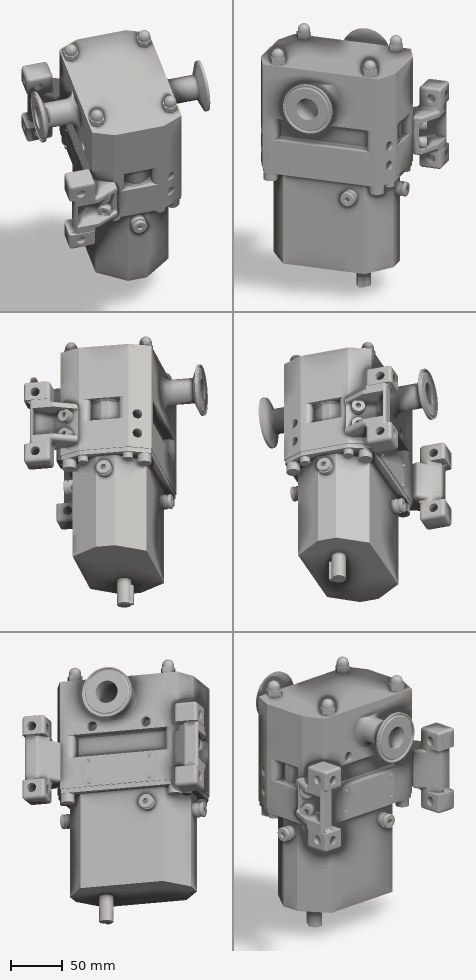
import cadquery as cq
import math


head_half_x, head_half_y = 69.3, 44.9
head_face_half_x = 60.0
head_side_half_y = 24.5
head_bottom, head_top = 124.2, 231.5
plate_inset = 0.7
plate_bottom = 119.8

gear_half_x, gear_half_y = 61.5, 36.5
gear_face_half_x, gear_side_half_y = 42.0, 9.4
gear_bottom = 25.5

shaft_x, shaft_radius = -27.5, 7.0
key_width, key_length, key_reach = 5.0, 19.2, 9.0

window_bottom, window_top = 154.5, 177.2
window_half_x, window_half_y = 46.3, 14.3
window_round = 6.0
core_half_x, core_half_y = 64.5, 34.5
core_face_half_x, core_side_half_y = 44.5, 3.5
core_flare = 1.5

port_z = 206.3
port_tube_radius, port_bore_radius = 12.3, 11.0
port_bore_end = 24.6
port_boss_end, port_flare_start, port_flare_radius = 54.5, 53.0, 18.5
port_flat_height = 13.3
ferrule_radius, ferrule_face, ferrule_rim = 25.0, 83.0, 2.7
ferrule_cone_start = 75.0
groove_inner, groove_outer, groove_depth = 21.2, 23.7, 1.2

nut_x, nut_y = 47.3, 36.7
nut_corner_diameter, nut_height, dome_radius = 14.8, 6.2, 6.0
nut_top = 246.5
big_screw_x, big_screw_y, big_screw_radius, big_screw_height = 54.7, 37.0, 6.7, 8.5
small_screw_x, small_screw_y, small_screw_radius, small_screw_height = 62.0, 22.2, 5.0, 5.5
plug_z, plug_x = 104.0, 27.5
plug_radius, plug_neck_radius, plug_socket_radius = 7.1, 6.0, 2.7
plug_shank, plug_neck, plug_cap = 6.0, 1.5, 3.5
plug_chamfer = 0.7
label_width, label_height, label_z = 70.5, 29.0, 139.3
label_corner, label_thickness = 4.2, 0.5
label_screw_x, label_screw_z = 30.8, 11.0
label_screw_radius, label_screw_height, label_screw_socket = 1.7, 1.7, 0.7
gauge_hole_x, gauge_hole_z, gauge_hole_radius, gauge_hole_depth = 27.4, 184.0, 5.0, 9.9

mount_y, mount_z, mount_pitch = 32.3, 149.0, 20.0
mount_hole_radius, mount_hole_depth = 4.7, 22.2

bracket_z = 150.0
bracket_height, pocket_height = 40.0, 28.0
bracket_round = 3.0
bracket_outer_x, bracket_front_y = 88.2, -69.5
bracket_tip_y, bracket_tip_width, bracket_shoulder_y = -24.5, 8.9, -46.0
bracket_inner_y, bracket_bend_x = -49.3, 75.0
bracket_floor, bracket_wall = 6.0, 3.0
neck_front_round = 4.5
bracket_head_radius, bracket_head_height = 6.5, 8.0
head_socket_radius, head_socket_depth = 2.7, 4.0
block_inner_x, block_outer_x = 66.0, 88.85
block_front_y, block_back_y = -75.2, -49.3
block_height, block_span = 19.0, 83.3
block_hole_x, block_hole_y, block_hole_z = 78.9, -63.8, 30.8
block_hole_radius = 4.55

LARGE = 246.5


def octagon(half_x, half_y, face_half_x, side_half_y, bottom):
    """Wire of a chamfered rectangle, lying at height `bottom`."""
    quarter = [(half_x, side_half_y), (face_half_x, half_y)]
    points = quarter + [(-x, y) for x, y in reversed(quarter)]
    points += [(-x, -y) for x, y in points]
    return cq.Workplane("XY", origin=(0, 0, bottom)).polyline(points).close()


def cylinder(start, direction, radius, length):
    return cq.Workplane(cq.Solid.makeCylinder(radius, length, cq.Vector(*start), cq.Vector(*direction)))


def signed_pairs(x, y):
    return [(i * x, j * y) for i in (-1, 1) for j in (-1, 1)]


def windows():
    """Openings in all four head walls, leaving the octagonal core standing inside."""
    height = window_top - window_bottom
    middle = (window_top + window_bottom) / 2

    def opening(half_width, wall):
        """Slot along Y whose edges round out to meet the wall faces at y = +-wall."""
        mouth = half_width + window_round
        inner = wall - window_round
        outline = cq.Workplane("XY", origin=(0, 0, window_bottom)).moveTo(-half_width, -inner)
        outline = outline.radiusArc((-mouth, -wall), window_round).lineTo(mouth, -wall)
        outline = outline.radiusArc((half_width, -inner), window_round).lineTo(half_width, inner)
        outline = outline.radiusArc((mouth, wall), window_round).lineTo(-mouth, wall)
        outline = outline.radiusArc((-half_width, inner), window_round).close()
        return outline.extrude(height)

    core_sides = (core_half_x, core_half_y, core_face_half_x, core_side_half_y)
    core = octagon(*core_sides, window_bottom).extrude(height)
    flared = [side + core_flare for side in core_sides]
    foot = octagon(*flared, window_bottom).extrude(core_flare, taper=45)
    foot_at_top = foot.mirror("XY", (0, 0, middle))
    front_and_back = opening(window_half_x, head_half_y)
    sides = opening(window_half_y, head_half_x).rotate((0, 0, 0), (0, 0, 1), 90)
    return front_and_back.union(sides).cut(core).cut(foot).cut(foot_at_top)


def port():
    """Front port: flared boss, tube and clamp ferrule, with its bore still closed."""
    groove_middle = (groove_inner + groove_outer) / 2
    rim_back = ferrule_face - ferrule_rim
    profile = (
        cq.Workplane("XY")
        .moveTo(0, port_bore_end)
        .lineTo(port_flare_radius, port_bore_end)
        .lineTo(port_flare_radius, head_half_y)
        .lineTo(port_tube_radius, port_boss_end)
        .lineTo(port_tube_radius, ferrule_cone_start)
        .lineTo(ferrule_radius, rim_back)
        .lineTo(ferrule_radius, ferrule_face)
        .lineTo(groove_outer, ferrule_face)
        .threePointArc((groove_middle, ferrule_face - groove_depth), (groove_inner, ferrule_face))
        .lineTo(0, ferrule_face)
        .close()
    )
    turned = profile.revolve(360, (0, 0), (0, 1))
    rise = port_flare_radius - port_tube_radius
    run = port_flare_start - head_half_y
    arc_radius = (rise ** 2 + run ** 2) / (2 * rise)
    scoop = (
        cq.Workplane("XY")
        .center(port_tube_radius + arc_radius, port_flare_start)
        .circle(arc_radius)
        .revolve(360, (-port_tube_radius - arc_radius, 0), (-port_tube_radius - arc_radius, 1))
    )
    boss_zone = cq.Workplane("XZ").circle(LARGE).extrude(-port_boss_end)
    turned = turned.cut(scoop.intersect(boss_zone))
    above_flat = cq.Workplane("XY").box(LARGE, port_boss_end, LARGE, centered=(True, False, False))
    turned = turned.cut(above_flat.translate((0, 0, port_flat_height)))
    return turned.rotate((0, 0, 0), (0, 0, 1), 180).translate((0, 0, port_z))


def acorn_nut(x, y):
    hexagon = cq.Workplane("XY", origin=(x, y, head_top)).polygon(6, nut_corner_diameter).extrude(nut_height)
    dome_z = nut_top - dome_radius
    barrel = cylinder((x, y, head_top), (0, 0, 1), dome_radius, dome_z - head_top)
    dome = cq.Workplane("XY", origin=(x, y, dome_z)).sphere(dome_radius)
    return hexagon.union(barrel).union(dome)


def plug():
    """Screw plug pointing along -Y from the origin, with a waist below its cap."""
    shank = cylinder((0, 0, 0), (0, -1, 0), plug_radius, plug_shank)
    neck = cylinder((0, 0, 0), (0, -1, 0), plug_neck_radius, plug_shank + plug_neck)
    cap_start = plug_shank + plug_neck
    cap = cylinder((0, -cap_start, 0), (0, -1, 0), plug_radius, plug_cap).edges().chamfer(plug_chamfer)
    socket = cylinder((0, -cap_start, 0), (0, -1, 0), plug_socket_radius, plug_cap)
    return shank.union(neck).union(cap).cut(socket)


def gearbox_plugs():
    """One plug on each of the four gearbox faces, turned to face outwards."""
    places = [
        (0, plug_x, -gear_half_y),
        (180, -plug_x, gear_half_y),
        (-90, -gear_half_x, 0),
        (90, gear_half_x, 0),
    ]
    return [plug().rotate((0, 0, 0), (0, 0, 1), turn).translate((x, y, plug_z)) for turn, x, y in places]


def label():
    """Name plate on the front face with a screw at each corner."""
    plate = cq.Workplane("XZ", origin=(0, -head_half_y, label_z)).rect(label_width, label_height)
    plate = plate.extrude(label_thickness).edges("|Y").fillet(label_corner)
    screws = cq.Workplane("XZ", origin=(0, -head_half_y - label_thickness, label_z))
    screws = screws.pushPoints(signed_pairs(label_screw_x, label_screw_z))
    screws = screws.circle(label_screw_radius).circle(label_screw_socket).extrude(label_screw_height)
    return plate.union(screws)


def shaft():
    length = gear_bottom
    rod = cylinder((shaft_x, 0, 0), (0, 0, 1), shaft_radius, length)
    key = cq.Workplane("XY").box(key_width, key_reach, key_length, centered=(True, False, False))
    return rod.union(key.translate((shaft_x, 0, 0)))


def chamfer_normal(side_x, side_y):
    """Outward normal of the head chamfer at the given X and Y sides."""
    along_x = head_half_x - head_face_half_x
    along_y = head_half_y - head_side_half_y
    length = math.hypot(along_x, along_y)
    return (side_x * along_y / length, side_y * along_x / length, 0)


def chamfer_x(y):
    """Distance from X = 0 to the chamfer plane at distance y from Y = 0."""
    slope = (head_half_x - head_face_half_x) / (head_half_y - head_side_half_y)
    return head_half_x - (y - head_side_half_y) * slope


def mount_heights():
    return [mount_z - mount_pitch / 2, mount_z + mount_pitch / 2]


def make_pump():
    head = octagon(head_half_x, head_half_y, head_face_half_x, head_side_half_y, head_bottom)
    body = head.extrude(head_top - head_bottom).cut(windows())
    plate = octagon(
        head_half_x - plate_inset,
        head_half_y - plate_inset,
        head_face_half_x - plate_inset,
        head_side_half_y - plate_inset,
        plate_bottom,
    )
    body = body.union(plate.extrude(head_bottom - plate_bottom))
    gearbox = octagon(gear_half_x, gear_half_y, gear_face_half_x, gear_side_half_y, gear_bottom)
    body = body.union(gearbox.extrude(plate_bottom - gear_bottom))
    body = body.union(shaft())

    front_port = port()
    body = body.union(front_port).union(front_port.mirror("XZ"))
    bore_length = ferrule_face - port_bore_end
    for side in (-1, 1):
        body = body.cut(cylinder((0, side * ferrule_face, port_z), (0, -side, 0), port_bore_radius, bore_length))
        start = (side * gauge_hole_x, -head_half_y, gauge_hole_z)
        body = body.cut(cylinder(start, (0, 1, 0), gauge_hole_radius, gauge_hole_depth))

        outward = chamfer_normal(side, 1)
        inward = tuple(-part for part in outward)
        for z in mount_heights():
            start = (side * chamfer_x(mount_y), mount_y, z)
            body = body.cut(cylinder(start, inward, mount_hole_radius, mount_hole_depth))

    for x, y in signed_pairs(nut_x, nut_y):
        body = body.union(acorn_nut(x, y))
    for x, y in signed_pairs(big_screw_x, big_screw_y):
        body = body.union(cylinder((x, y, plate_bottom), (0, 0, -1), big_screw_radius, big_screw_height))
    for x, y in signed_pairs(small_screw_x, small_screw_y):
        body = body.union(cylinder((x, y, plate_bottom), (0, 0, -1), small_screw_radius, small_screw_height))
    for one_plug in gearbox_plugs():
        body = body.union(one_plug)
    return body.union(label())


def bracket_outline():
    """Left bracket seen along Z; its long inner edge lies on the head chamfer."""
    tip_inner = -chamfer_x(-bracket_tip_y)
    corner_inner = -chamfer_x(-bracket_inner_y)
    return [
        (tip_inner, bracket_tip_y),
        (tip_inner - bracket_tip_width, bracket_tip_y),
        (-bracket_outer_x, bracket_shoulder_y),
        (-bracket_outer_x, bracket_front_y),
        (-bracket_bend_x, bracket_front_y),
        (corner_inner, bracket_inner_y),
    ]


def bracket_plate():
    bottom = bracket_z - bracket_height / 2
    plate = cq.Workplane("XY", origin=(0, 0, bottom)).polyline(bracket_outline()).close()
    plate = plate.extrude(bracket_height)
    plate = plate.edges("|Z and (<Y)").fillet(bracket_round)
    return plate.faces("<Z or >Z").edges().fillet(bracket_round)


def bracket_pocket():
    """Open recess from the outer side, leaving a floor on the chamfer and a slanted front wall."""
    corner = cq.Vector(-chamfer_x(-bracket_inner_y), bracket_inner_y)
    bend = cq.Vector(-bracket_bend_x, bracket_front_y)
    floor_out = cq.Vector(*chamfer_normal(-1, -1))
    floor_along = cq.Vector(-floor_out.y, floor_out.x) * -1
    slant_along = (bend - corner).normalized()
    slant_out = cq.Vector(slant_along.y, -slant_along.x)
    on_floor = corner + floor_out * bracket_floor
    travel = (bracket_wall - (on_floor - corner).dot(slant_out)) / floor_along.dot(slant_out)
    inner = on_floor + floor_along * travel
    front_y = bracket_front_y + bracket_wall
    front = inner + slant_along * ((front_y - inner.y) / slant_along.y)
    top = inner + floor_along * ((0 - inner.y) / floor_along.y)
    points = [(v.x, v.y) for v in (top, inner, front)]
    points += [(-LARGE, front_y), (-LARGE, 0)]
    bottom = bracket_z - pocket_height / 2
    pocket = cq.Workplane("XY", origin=(0, 0, bottom)).polyline(points).close().extrude(pocket_height)
    return pocket.edges("not (<X or <Y or >Y)").fillet(bracket_round)


def mounting_block():
    """Upper mounting block with the neck that carries it on the bracket plate."""
    top = bracket_z + block_span / 2
    bottom = top - block_height
    size_x = block_outer_x - block_inner_x
    size_y = block_back_y - block_front_y
    corner_at_low = (-block_outer_x, block_front_y)
    block = cq.Workplane("XY").box(size_x, size_y, block_height, centered=False)
    block = block.translate((*corner_at_low, bottom))
    block = block.edges("|Z or >Z").fillet(bracket_round)

    plate_top = bracket_z + bracket_height / 2
    neck_bottom = plate_top - bracket_round
    neck = cq.Workplane("XY", origin=(0, 0, neck_bottom)).polyline(bracket_outline()).close()
    neck = neck.extrude(bottom - neck_bottom).edges("|Z and <Y").fillet(bracket_round)
    under_block = cq.Workplane("XY").box(size_x, size_y, LARGE, centered=(False, False, True))
    neck = neck.intersect(under_block.translate((*corner_at_low, bottom)))
    block = block.union(neck)

    left, right = -bracket_outer_x + bracket_round, -bracket_bend_x - bracket_round
    front_fillet = corner_fillet(left, right, bracket_front_y, bottom, -neck_front_round, -neck_front_round)
    right = -block_inner_x - bracket_round
    back_fillet = corner_fillet(left, right, block_back_y, plate_top, bracket_round, bracket_round)
    return block.union(front_fillet).union(back_fillet)


def corner_fillet(left, right, y, z, reach_y, reach_z):
    """Hollow fillet along X filling the inside corner at (y, z) towards (reach_y, reach_z)."""
    middle = 1 - math.sqrt(0.5)
    profile = cq.Workplane("YZ", origin=(left, 0, 0)).moveTo(y, z).lineTo(y + reach_y, z)
    arc_middle = (y + reach_y * middle, z + reach_z * middle)
    profile = profile.threePointArc(arc_middle, (y, z + reach_z)).close()
    return profile.extrude(right - left)


def bracket_screw(z):
    """Head of a mounting screw standing on the pocket floor."""
    outward = chamfer_normal(-1, -1)
    axis = cq.Vector(*outward)
    seat = cq.Vector(-chamfer_x(mount_y), -mount_y, z) + axis * bracket_floor
    head = cylinder(seat.toTuple(), outward, bracket_head_radius, bracket_head_height)
    socket_start = seat + axis * (bracket_head_height - head_socket_depth)
    return head.cut(cylinder(socket_start.toTuple(), outward, head_socket_radius, head_socket_depth))


def left_bracket(front_holes):
    body = bracket_plate().cut(bracket_pocket())
    block = mounting_block()
    body = body.union(block).union(block.mirror("XY", (0, 0, bracket_z)))
    for z in mount_heights():
        body = body.union(bracket_screw(z))
    for z in (bracket_z - block_hole_z, bracket_z + block_hole_z):
        body = body.cut(cylinder((-LARGE, block_hole_y, z), (1, 0, 0), block_hole_radius, LARGE))
        if front_holes:
            body = body.cut(cylinder((-block_hole_x, -LARGE, z), (0, 1, 0), block_hole_radius, LARGE))
    return body


def make_brackets():
    """A bracket on each front chamfer; only the left one is also drilled from the front."""
    brackets = []
    for side in (-1, 1):
        bracket = left_bracket(front_holes=side < 0)
        brackets.append(bracket if side < 0 else bracket.mirror("YZ"))
    return brackets


pump = make_pump()
brackets = make_brackets()

result = cq.Compound.makeCompound([pump.val(), *[bracket.val() for bracket in brackets]])